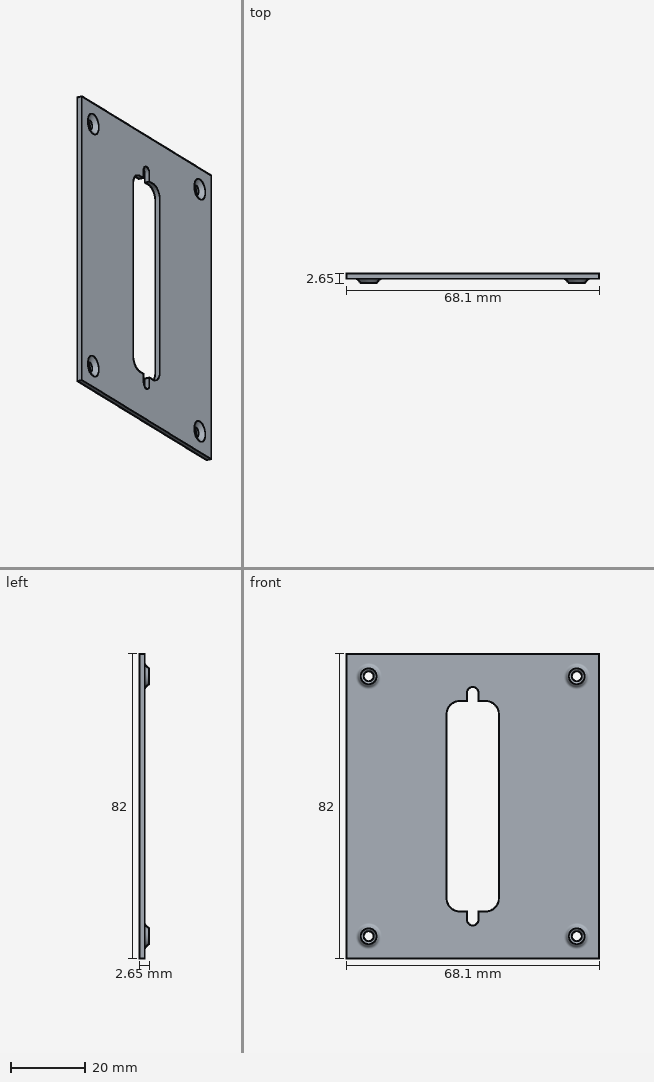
import cadquery as cq
import math

plate_width = 68.1
plate_height = 82.0
plate_thickness = 1.5

window_width = 14.0
window_height = 56.6
window_corner_radius = 3.5
notch_width = 3.0
notch_span = 64.15

boss_spacing_x = 56.0
boss_spacing_z = 70.0
boss_height = 1.15
rim_radius = 2.1
flare_top_radius = 2.9
foot_radius = 3.5
hole_radius = 1.3
funnel_depth = 0.8
throat_length = 0.65
countersink_radius = 2.9

back_y = (plate_thickness + boss_height) / 2
front_y = back_y - plate_thickness
rim_y = front_y - boss_height


def make_plate():
    plate = cq.Workplane("XY").box(plate_width, plate_thickness, plate_height)
    return plate.translate((0, front_y + plate_thickness / 2, 0))


def make_window():
    window = (
        cq.Workplane("XZ", origin=(0, back_y, 0))
        .rect(window_width, window_height)
        .extrude(plate_thickness)
        .edges("|Y")
        .fillet(window_corner_radius)
    )
    notches = (
        cq.Workplane("XZ", origin=(0, back_y, 0))
        .slot2D(notch_span, notch_width, 90)
        .extrude(plate_thickness)
    )
    return window.union(notches)


def make_boss():
    """Cone whose foot blends into the plate with a concave arc tangent to both."""
    slope = math.atan2(boss_height, flare_top_radius - rim_radius)
    for _ in range(20):
        tangent = (foot_radius - flare_top_radius) / (1 + math.cos(slope))
        flare_y = tangent * math.sin(slope)
        slope = math.atan2(boss_height - flare_y, flare_top_radius - rim_radius)
    blend_radius = tangent / math.tan(slope / 2)
    arc_middle = (
        foot_radius - blend_radius * math.sin(slope / 2),
        front_y - blend_radius * (1 - math.cos(slope / 2)),
    )
    return (
        cq.Workplane("XY")
        .moveTo(0, back_y)
        .lineTo(foot_radius, back_y)
        .lineTo(foot_radius, front_y)
        .threePointArc(arc_middle, (flare_top_radius, front_y - flare_y))
        .lineTo(rim_radius, rim_y)
        .lineTo(0, rim_y)
        .close()
        .revolve(360, (0, 0, 0), (0, 1, 0))
    )


def make_hole():
    """Short throat between a funnel out to the boss rim and a countersink in the back."""
    return (
        cq.Workplane("XY")
        .moveTo(0, back_y)
        .lineTo(countersink_radius, back_y)
        .lineTo(hole_radius, rim_y + funnel_depth + throat_length)
        .lineTo(hole_radius, rim_y + funnel_depth)
        .lineTo(rim_radius, rim_y)
        .lineTo(0, rim_y)
        .close()
        .revolve(360, (0, 0, 0), (0, 1, 0))
    )


result = make_plate().cut(make_window())
boss = make_boss()
hole = make_hole()
for side_x in (-1, 1):
    for side_z in (-1, 1):
        place = (side_x * boss_spacing_x / 2, 0, side_z * boss_spacing_z / 2)
        result = result.union(boss.translate(place)).cut(hole.translate(place))